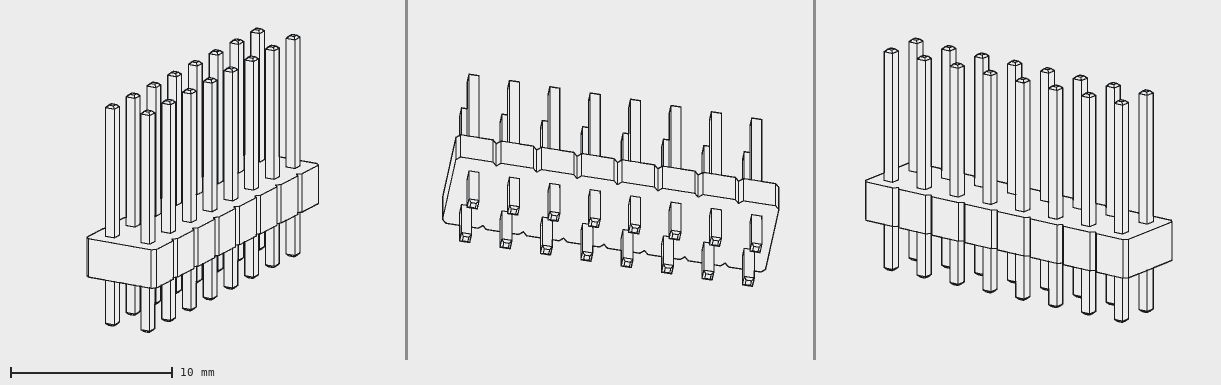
import cadquery as cq

pitch = 2.54
row_count = 2
pins_per_row = 8
body_width = 5.0
body_length = pins_per_row * pitch
body_height = 2.5
notch = 0.25

pin_side = 0.64
pin_above = 8.5
pin_below = 3.3
pin_length = pin_below + body_height + pin_above
tip_chamfer = 0.15


def make_body():
    """Block with V notches along both long sides, one segment per pin pair."""
    body = cq.Workplane("XY").box(body_width, body_length, body_height, centered=(True, True, False))
    for boundary in range(pins_per_row + 1):
        y = -body_length / 2 + boundary * pitch
        for side in (-1, 1):
            edge_x = side * body_width / 2
            cutter = (
                cq.Workplane("XY")
                .polyline([(edge_x - side * notch, y), (edge_x, y - notch), (edge_x, y + notch)])
                .close()
                .extrude(body_height)
            )
            body = body.cut(cutter)
    return body


def make_pins():
    """Grid of square pins with both tips chamfered."""
    pin = (
        cq.Workplane("XY")
        .box(pin_side, pin_side, pin_length, centered=(True, True, False))
        .faces("<Z or >Z")
        .chamfer(tip_chamfer)
    )
    pin_solid = pin.translate((0, 0, -pin_below)).val()
    return (
        cq.Workplane("XY")
        .rarray(pitch, pitch, row_count, pins_per_row)
        .eachpoint(lambda location: pin_solid.moved(location))
    )


result = make_body().union(make_pins())